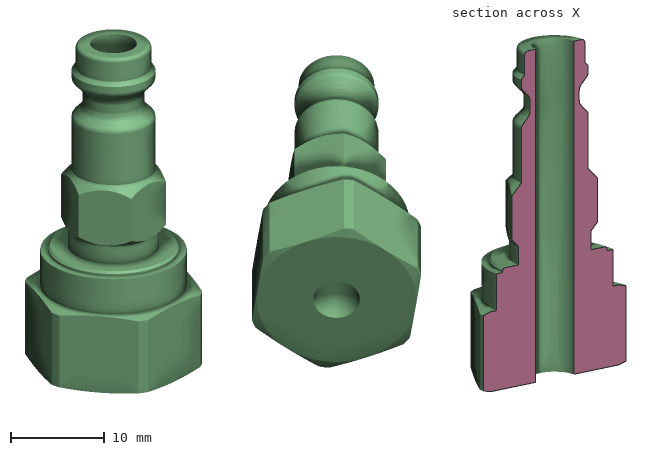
import cadquery as cq
import math

total_height = 37.0
nut_top = 8.9
sleeve_top = 13.0
ring_top = 13.45
wrench_hex_bottom = 15.5
wrench_hex_top = 22.5
stem_shoulder = 28.7
locking_band_bottom = 32.93
locking_band_top = 33.93

bore_diameter = 5.0
neck_diameter = 6.6
tip_diameter = 8.05
stem_diameter = 8.95
collar_diameter = 9.7
ring_diameter = 14.0
sleeve_diameter = 15.6

wrench_hex_flats = 9.88
nut_flats = 17.0
nut_corner_diameter = 19.0
nut_chamfer_height = 0.25

tip_round = 0.45
ring_chamfer = 0.22
shoulder_round = 0.5
neck_round = 1.0

tip_step = (stem_diameter - tip_diameter) / 2
neck_depth = (stem_diameter - neck_diameter) / 2
neck_bottom = stem_shoulder + neck_depth
neck_top = locking_band_bottom - neck_depth


def cylinder(diameter, bottom, top):
    return cq.Workplane("XY").workplane(offset=bottom).circle(diameter / 2).extrude(top - bottom)


def hexagon(flats, bottom, top):
    corner_diameter = flats / math.cos(math.pi / 6)
    prism = cq.Workplane("XY").polygon(6, corner_diameter).extrude(top - bottom)
    return prism.rotate((0, 0, 0), (0, 0, 1), 30).translate((0, 0, bottom))


def revolve_profile(points):
    """Revolve (radius, height) points, closed along the axis, about Z."""
    return cq.Workplane("XZ").polyline(points).close().revolve(360, (0, 0, 0), (0, 1, 0))


def round_at(body, height, radius):
    """Round the circular edges lying at one height."""
    margin = 0.005
    size = 2 * stem_diameter
    box = cq.selectors.BoxSelector(
        (-size, -size, height - margin), (size, size, height + margin), boundingbox=True
    )
    return body.edges("%CIRCLE").edges(box).fillet(radius)


def make_plug():
    """Plug stem with a locking groove between 45 degree shoulders."""
    stem_radius = stem_diameter / 2
    neck_radius = neck_diameter / 2
    tip_radius = tip_diameter / 2
    plug = revolve_profile([
        (0, wrench_hex_top),
        (stem_radius, wrench_hex_top),
        (stem_radius, stem_shoulder),
        (neck_radius, neck_bottom),
        (neck_radius, neck_top),
        (stem_radius, locking_band_bottom),
        (stem_radius, locking_band_top),
        (tip_radius, locking_band_top + tip_step),
        (tip_radius, total_height),
        (0, total_height),
    ])
    for height in (stem_shoulder, locking_band_bottom):
        plug = round_at(plug, height, shoulder_round)
    for height in (neck_bottom, neck_top):
        plug = round_at(plug, height, neck_round)
    return round_at(plug, total_height, tip_round)


def make_wrench_hex():
    """Small hexagon with 45 degree conical chamfers on both ends."""
    top_radius = stem_diameter / 2
    bottom_radius = collar_diameter / 2
    outer_radius = wrench_hex_flats / math.sqrt(3)
    envelope = revolve_profile([
        (0, wrench_hex_bottom),
        (bottom_radius, wrench_hex_bottom),
        (outer_radius, wrench_hex_bottom + outer_radius - bottom_radius),
        (outer_radius, wrench_hex_top - outer_radius + top_radius),
        (top_radius, wrench_hex_top),
        (0, wrench_hex_top),
    ])
    return hexagon(wrench_hex_flats, wrench_hex_bottom, wrench_hex_top).intersect(envelope)


def make_nut():
    """Large hexagon with turned corners and shallow conical end chamfers."""
    face_radius = nut_flats / 2
    corner_radius = nut_corner_diameter / 2
    envelope = revolve_profile([
        (0, 0),
        (face_radius, 0),
        (corner_radius, nut_chamfer_height),
        (corner_radius, nut_top - nut_chamfer_height),
        (face_radius, nut_top),
        (0, nut_top),
    ])
    return hexagon(nut_flats, 0, nut_top).intersect(envelope)


sleeve = cylinder(sleeve_diameter, nut_top, sleeve_top)
ring = cylinder(ring_diameter, sleeve_top, ring_top).faces(">Z").chamfer(ring_chamfer)
collar = cylinder(collar_diameter, ring_top, wrench_hex_bottom)
bore = cylinder(bore_diameter, 0, total_height)

result = make_nut()
for section in (sleeve, ring, collar, make_wrench_hex(), make_plug()):
    result = result.union(section)
result = result.cut(bore)